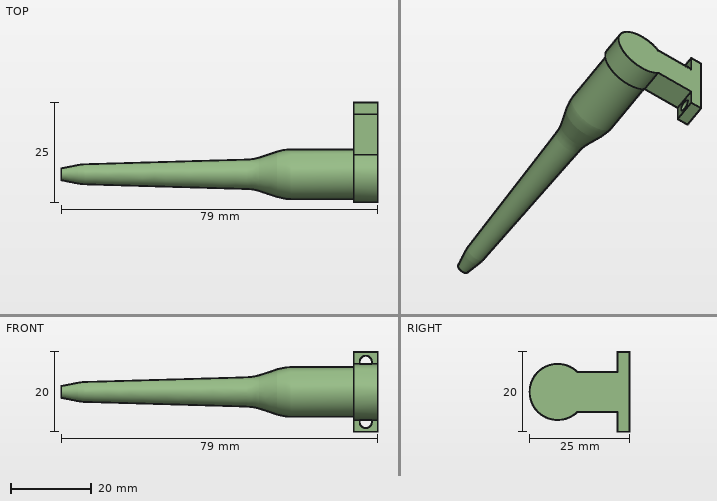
import cadquery as cq

length = 79.0
depth = 25.0
height = 20.0

tip_radius = 1.5
tip_cone_end, tip_cone_radius = 4.2, 2.33
taper_start, taper_start_radius = 5.8, 2.5
taper_end, taper_end_radius = 46.5, 3.7
shoulder_start, shoulder_start_radius = 49.4, 4.2
shoulder_end, shoulder_end_radius = 53.9, 5.7
body_start = 57.2
body_radius = 12.5 / 2

collar_length = 6.0
collar_radius = 7.0
web_height = 10.0
bar_thickness = 3.0
hole_diameter = 3.0

collar_start = length - collar_length
bar_outer_y = depth - collar_radius
bar_inner_y = bar_outer_y - bar_thickness
hole_z = (height + web_height) / 4


def make_nozzle():
    """Solid of revolution: straight and conical stretches joined by tangent arcs."""
    profile = (
        cq.Workplane("XY")
        .lineTo(0, tip_radius)
        .lineTo(tip_cone_end, tip_cone_radius)
        .tangentArcPoint((taper_start, taper_start_radius), relative=False)
        .lineTo(taper_end, taper_end_radius)
        .tangentArcPoint((shoulder_start, shoulder_start_radius), relative=False)
        .lineTo(shoulder_end, shoulder_end_radius)
        .tangentArcPoint((body_start, body_radius), relative=False)
        .lineTo(collar_start, body_radius)
        .lineTo(collar_start, collar_radius)
        .lineTo(length, collar_radius)
        .lineTo(length, 0)
        .close()
    )
    return profile.revolve(360, (0, 0, 0), (1, 0, 0))


def make_plate(start_y, end_y, plate_height):
    """Block as long as the collar, centred on Z = 0."""
    return (
        cq.Workplane("XY")
        .box(collar_length, end_y - start_y, plate_height, centered=(False, False, True))
        .translate((collar_start, start_y, 0))
    )


def make_bracket():
    """Web from the nozzle axis to a cross bar with a mounting hole at each end."""
    web = make_plate(0, bar_outer_y, web_height)
    bar = make_plate(bar_inner_y, bar_outer_y, height)
    hole_x = collar_start + collar_length / 2
    holes = (
        cq.Workplane("XZ", origin=(0, bar_outer_y, 0))
        .pushPoints([(hole_x, hole_z), (hole_x, -hole_z)])
        .circle(hole_diameter / 2)
        .extrude(bar_thickness)
    )
    return web.union(bar).cut(holes)


result = make_nozzle().union(make_bracket())